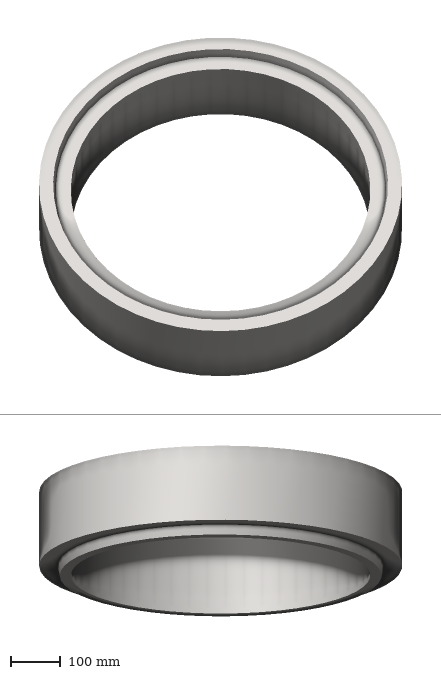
import cadquery as cq

outer_diameter = 726.0
bore_diameter = 599.0
total_height = 173.0

spigot_height = 19.5
spigot_root_diameter = 652.0
spigot_tip_diameter = 643.0

socket_depth = 19.5
socket_mouth_diameter = 669.5
socket_floor_diameter = 659.0

outer_radius = outer_diameter / 2
bore_radius = bore_diameter / 2
socket_floor_z = total_height - socket_depth

section = [
    (bore_radius, 0),
    (spigot_tip_diameter / 2, 0),
    (spigot_root_diameter / 2, spigot_height),
    (outer_radius, spigot_height),
    (outer_radius, total_height),
    (socket_mouth_diameter / 2, total_height),
    (socket_floor_diameter / 2, socket_floor_z),
    (bore_radius, socket_floor_z),
]

result = cq.Workplane("XZ").polyline(section).close().revolve(360, (0, 0, 0), (0, 1, 0))